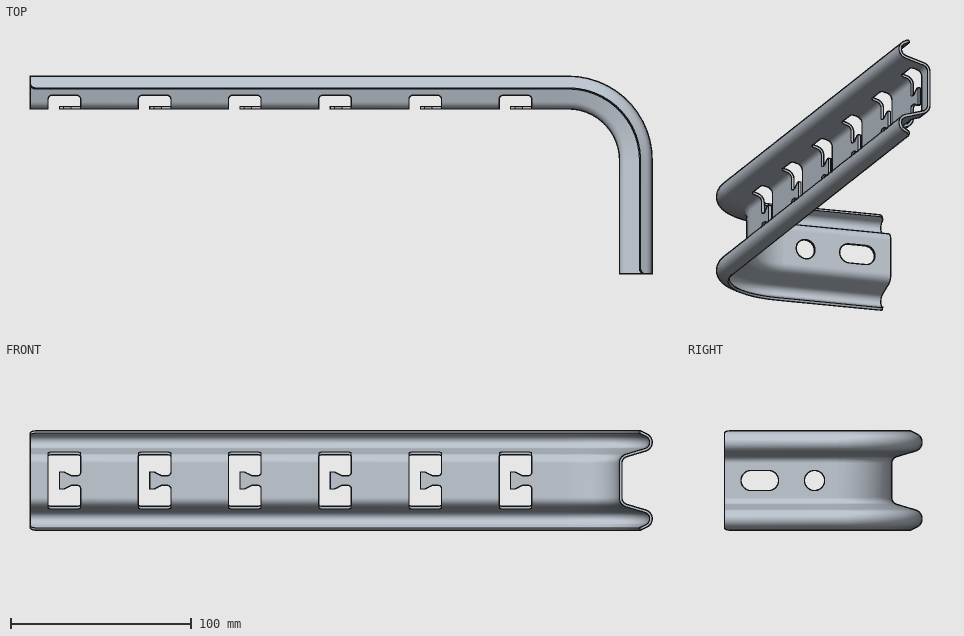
import cadquery as cq
import math

LENGTH = 344.5
LEG_REACH = 109.5
HEIGHT = 55.0

DEPTH = 18.3
SHEET = 1.5
WEB_FLAT_HALF = 9.5
WEB_BEND_RADIUS = 5.0
FLANGE_SLOPE = math.radians(16.5)
CURL_RADIUS = 5.0
LIP_SLOPE = math.radians(25.5)
LIP_CORNER_RADIUS = 3.0

CORNER_RADIUS = 46.5

WINDOW_COUNT = 6
WINDOW_PITCH = 50.0
WINDOW_START = 10.0
WINDOW_WIDTH = 18.0
WINDOW_BACK = -10.7
WINDOW_CORNER_RADIUS = 2.0

TONGUE_LENGTH = 11.7
TONGUE_HEAD_LENGTH = 2.5
TONGUE_TAPER_LENGTH = 4.0
TONGUE_HEAD_HALF = 4.8
TONGUE_NECK_HALF = 2.8
TONGUE_ROOT_RADIUS = 1.7

HOLE_DIAMETER = 11.0
ROUND_HOLE_Y = -59.5
LONG_HOLE_Y = -90.0
LONG_HOLE_LENGTH = 20.5

CORNER_X = LENGTH - CORNER_RADIUS
LENGTH_TOLERANCE = 0.005
CUT_DEPTH = 2 * DEPTH


def offset_point(center, normal_angle, distance):
    """Point at a distance from a (Y, Z) center; the angle is measured from +Y towards +Z."""
    return (
        center[0] + distance * math.cos(normal_angle),
        center[1] + distance * math.sin(normal_angle),
    )


def make_profile():
    """Closed hat profile in the YZ plane: web at the front, flanges, curls and lips at the back."""
    flange_angle = math.pi / 2 + FLANGE_SLOPE
    lip_angle = math.pi / 2 - LIP_SLOPE
    curl_inner = CURL_RADIUS - SHEET
    bend_inner = WEB_BEND_RADIUS - SHEET

    bend = (WEB_BEND_RADIUS - DEPTH, WEB_FLAT_HALF)
    curl_y = -CURL_RADIUS
    center_gap = WEB_BEND_RADIUS + curl_inner
    curl_z = bend[1] + (center_gap + (curl_y - bend[0]) * math.sin(FLANGE_SLOPE)) / math.cos(FLANGE_SLOPE)
    curl = (curl_y, curl_z)

    lip_start = offset_point(curl, lip_angle, CURL_RADIUS)
    lip_length = (HEIGHT / 2 - lip_start[1]) / math.sin(LIP_SLOPE)
    lip_end = offset_point(lip_start, lip_angle + math.pi / 2, lip_length)

    bend_middle = (math.pi + flange_angle) / 2
    curl_side = flange_angle - math.pi
    curl_middle = (curl_side + lip_angle) / 2

    half = (
        cq.Workplane("YZ")
        .moveTo(-DEPTH, 0)
        .lineTo(-DEPTH, WEB_FLAT_HALF)
        .threePointArc(
            offset_point(bend, bend_middle, WEB_BEND_RADIUS),
            offset_point(bend, flange_angle, WEB_BEND_RADIUS),
        )
        .lineTo(*offset_point(curl, curl_side, curl_inner))
        .threePointArc(
            offset_point(curl, curl_middle, curl_inner),
            offset_point(curl, lip_angle, curl_inner),
        )
        .lineTo(*offset_point(lip_end, lip_angle, -SHEET))
        .lineTo(*lip_end)
        .lineTo(*lip_start)
        .threePointArc(
            offset_point(curl, curl_middle, CURL_RADIUS),
            offset_point(curl, curl_side, CURL_RADIUS),
        )
        .lineTo(*offset_point(bend, flange_angle, bend_inner))
        .threePointArc(
            offset_point(bend, bend_middle, bend_inner),
            offset_point(bend, math.pi, bend_inner),
        )
        .lineTo(SHEET - DEPTH, 0)
    )
    return half.mirrorX()


def make_rail():
    """Profile swept along the arm, around the corner and down the leg, with rounded lip corners."""
    diagonal = CORNER_RADIUS * math.sqrt(0.5)
    path = (
        cq.Workplane("XY")
        .lineTo(CORNER_X, 0)
        .threePointArc(
            (CORNER_X + diagonal, diagonal - CORNER_RADIUS),
            (LENGTH, -CORNER_RADIUS),
        )
        .lineTo(LENGTH, -LEG_REACH)
    )
    rail = make_profile().sweep(path)
    corners = [
        edge
        for end in ("<X", "<Y")
        for edge in rail.faces(end).edges("%LINE").vals()
        if abs(edge.Length() - SHEET) < LENGTH_TOLERANCE
    ]
    return rail.newObject(corners).fillet(LIP_CORNER_RADIUS)


def make_window():
    """Cutter for one window, starting at X = 0, leaving the tongue standing in the web."""
    opening = (
        cq.Workplane("XY", origin=(0, 0, -HEIGHT / 2))
        .moveTo(0, -CUT_DEPTH)
        .lineTo(WINDOW_WIDTH, -CUT_DEPTH)
        .lineTo(WINDOW_WIDTH, WINDOW_BACK)
        .lineTo(0, WINDOW_BACK)
        .close()
        .extrude(HEIGHT)
        .edges("|Z and >Y")
        .fillet(WINDOW_CORNER_RADIUS)
    )
    tip = WINDOW_WIDTH - TONGUE_LENGTH
    head_end = tip + TONGUE_HEAD_LENGTH
    neck_start = head_end + TONGUE_TAPER_LENGTH
    root_start = WINDOW_WIDTH - TONGUE_ROOT_RADIUS
    root_half = TONGUE_NECK_HALF + TONGUE_ROOT_RADIUS
    tongue = (
        cq.Workplane("XZ")
        .moveTo(tip, 0)
        .lineTo(tip, TONGUE_HEAD_HALF)
        .lineTo(head_end, TONGUE_HEAD_HALF)
        .lineTo(neck_start, TONGUE_NECK_HALF)
        .lineTo(root_start, TONGUE_NECK_HALF)
        .radiusArc((WINDOW_WIDTH, root_half), -TONGUE_ROOT_RADIUS)
        .lineTo(WINDOW_WIDTH, 0)
        .mirrorX()
        .extrude(CUT_DEPTH)
    )
    return opening.cut(tongue)


def make_leg_holes():
    """Round hole and elongated hole through the web of the leg."""
    plane = cq.Workplane("YZ", origin=(LENGTH - CUT_DEPTH, 0, 0))
    round_hole = plane.center(ROUND_HOLE_Y, 0).circle(HOLE_DIAMETER / 2).extrude(CUT_DEPTH)
    long_hole = plane.center(LONG_HOLE_Y, 0).slot2D(LONG_HOLE_LENGTH, HOLE_DIAMETER).extrude(CUT_DEPTH)
    return round_hole.union(long_hole)


rail = make_rail()
window = make_window()
for index in range(WINDOW_COUNT):
    rail = rail.cut(window.translate((WINDOW_START + index * WINDOW_PITCH, 0, 0)))

result = rail.cut(make_leg_holes())